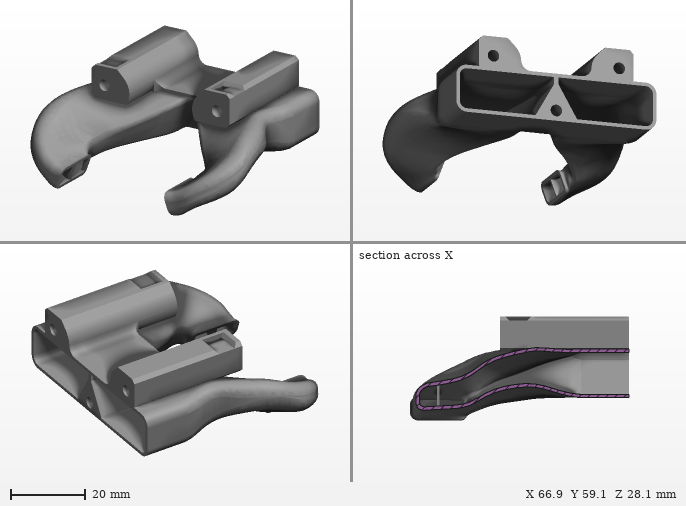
import cadquery as cq
import math

block_half_width = 28.6
block_depth = 12.8
block_round = 3.1
screw_hole_diameter = 3.3
block_hole_z = 2.9

plate_top = 13.25
plate_thickness = 0.95
plate_bottom = plate_top - plate_thickness
plate_depth = 20.9
plate_corner_round = 1.5

rail_outer_x = 22.1
rail_length = 34.8
rail_top = 21.95
rail_bottom = plate_bottom
rail_chamfer = 1.1
flank_radius = 5.95
flank_x = 16.0
flank_z = 15.6
flank_inner_x = flank_x - flank_radius
rail_hole_x = 18.0
rail_hole_z = 16.5
cove_radius = 2.8

pocket_inner_x = 15.05
pocket_back_y = -26.35
pocket_length = 7.0
pocket_depth = rail_chamfer
pocket_floor = rail_top - pocket_depth

wall = 1.0
septum_half = 0.7
crease_round = 1.2
mouth_round = 1.7
mouth_outer_round = 2.35
outlet_x = 16.2
outlet_back_y = -43.75
outlet_front_y = -59.1
outlet_top = 0.35
outlet_bottom = -6.15
outlet_lean = 20
divider_thickness = 0.7
divider_depth = 8.0

stations = [
    ((-2.2, -block_depth), (block_half_width, -block_depth), 0,
     [(7.55, 0), (0, plate_top), (0, plate_top), (0, 0)], crease_round, block_round),
    ((-0.35, -16.7), (27.95, -16.7), 0, [(6, 0), (0, 11.9), (0.15, 13.4), (0, 0.7)], crease_round, 3.1),
    ((2, -20.75), (27.3, -20.75), 0, [(4.7, -0.2), (0, 10.7), (0.7, 13.85), (0, 2)], crease_round, 3.1),
    ((4.7, -24.75), (27.8, -24.4), 0, [(4, -0.4), (0, 9.2), (1.0, 14.4), (0, 3.35)], crease_round, 3.1),
    ((8, -29.1), (30.1, -28.75), 0, [(4, -1.1), (0, 7.35), (1.35, 14.7), (0, 4.7)], crease_round, 3.7),
    ((13.7, -36.1), (34.2, -41.5), 0, [(4, -2.55), (0, 4.55), (2.7, 13.5), (0, 4.35)], crease_round, 4.35),
    ((16.7, -39.2), (33.8, -47.7), 0, [(3.0, -3.75), (0, 2.8), (2.7, 11.05), (0, 1.35)], crease_round, 4),
    ((18.25, -41.7), (29.2, -54.3), 5, [(0.7, -4.7), (0, 1.9), (1.0, 6.8), (0, -1.35)], mouth_round, 3.0),
    ((17.8, -43.3), (22.75, -58.2), 12, [(0, -5.35), (0, 1.0), (0, 2.5), (0, -4)], mouth_round, mouth_outer_round),
    ((outlet_x, outlet_back_y), (outlet_x, outlet_front_y), outlet_lean,
     [(0, outlet_bottom), (0, outlet_top), (0, outlet_top), (0, outlet_bottom)],
     mouth_round, mouth_outer_round),
]


def block():
    outline = cq.Workplane("XZ", origin=(0, 0, plate_top / 2)).rect(2 * block_half_width, plate_top)
    return outline.extrude(block_depth).edges("|Y").fillet(block_round)


def plate():
    half_width = flank_inner_x + plate_corner_round
    outline = cq.Workplane("XY", origin=(0, -plate_depth / 2, plate_bottom)).rect(2 * half_width, plate_depth)
    return outline.extrude(plate_thickness)


def rail():
    """Rail whose inner side is a 45 degree facet running tangent into a round flank."""
    slope = flank_radius * math.sqrt(0.5)
    facet_x = flank_x - slope
    facet_z = flank_z + slope
    foot_x = flank_x - math.sqrt(flank_radius**2 - (flank_z - rail_bottom)**2)
    profile = (
        cq.Workplane("XZ")
        .moveTo(foot_x, rail_bottom)
        .threePointArc((flank_inner_x, flank_z), (facet_x, facet_z))
        .lineTo(facet_x + rail_top - facet_z, rail_top)
        .lineTo(rail_outer_x - rail_chamfer, rail_top)
        .lineTo(rail_outer_x, rail_top - rail_chamfer)
        .lineTo(rail_outer_x, rail_bottom + rail_chamfer)
        .lineTo(rail_outer_x - rail_chamfer, rail_bottom)
        .close()
    )
    return profile.extrude(rail_length)


def cove():
    """Concave fillet tangent to the plate and the rail flank, with a rounded corner at its front."""
    reach = flank_radius + cove_radius
    centre_z = plate_top + cove_radius
    centre_x = flank_x - math.sqrt(reach**2 - (centre_z - flank_z)**2)
    share = cove_radius / reach
    touch_x = centre_x + share * (flank_x - centre_x)
    touch_z = centre_z + share * (flank_z - centre_z)
    start_angle = -math.pi / 2
    end_angle = math.atan2(touch_z - centre_z, touch_x - centre_x)
    middle_angle = (start_angle + end_angle) / 2
    middle_x = centre_x + cove_radius * math.cos(middle_angle)
    middle_z = centre_z + cove_radius * math.sin(middle_angle)
    front_y = -plate_depth - plate_corner_round
    strip = (
        cq.Workplane("XZ")
        .moveTo(centre_x, plate_bottom)
        .lineTo(centre_x, plate_top)
        .threePointArc((middle_x, middle_z), (touch_x, touch_z))
        .lineTo(flank_x, touch_z)
        .lineTo(flank_x, plate_bottom)
        .close()
        .extrude(-front_y)
    )
    corner_cut = (
        cq.Workplane("XY", origin=(0, 0, plate_bottom))
        .moveTo(flank_inner_x - plate_corner_round, -plate_depth)
        .radiusArc((flank_inner_x, front_y), plate_corner_round)
        .lineTo(0, front_y)
        .lineTo(0, -plate_depth)
        .close()
        .extrude(rail_top)
    )
    return strip.cut(corner_cut)


def pocket():
    """Shallow recess with sloped ends, and a slot that dives round the rail hole."""
    recess = (
        cq.Workplane("YZ", origin=(pocket_inner_x, pocket_back_y, 0))
        .moveTo(0, rail_top)
        .lineTo(-pocket_depth, pocket_floor)
        .lineTo(pocket_depth - pocket_length, pocket_floor)
        .lineTo(-pocket_length, rail_top)
        .close()
        .extrude(rail_outer_x - pocket_inner_x)
    )
    floor_radius = pocket_floor - rail_hole_z
    slot_width = rail_hole_x - pocket_inner_x
    slot_length = pocket_length - 2 * pocket_depth
    slot = (
        cq.Workplane("XY", origin=(pocket_inner_x, pocket_back_y - pocket_depth, pocket_floor))
        .move(slot_width / 2, -slot_length / 2)
        .rect(slot_width, slot_length)
        .extrude(-floor_radius / 2)
    )
    core = cq.Workplane("XZ", origin=(rail_hole_x, 0, rail_hole_z)).circle(floor_radius).extrude(rail_length)
    return recess.union(slot.cut(core))


def through_hole(x, z):
    return cq.Workplane("XZ", origin=(x, 0, z)).circle(screw_hole_diameter / 2).extrude(rail_length)


def round_corners(wire, points, radius):
    """Round the corners of a flat wire that lie at the given points."""
    corners = [min(wire.Vertices(), key=lambda v, p=p: (v.Center() - p).Length) for p in points]
    return wire.fillet2D(radius, corners)


def duct_section(inner, outer, lean, corners, inner_round, outer_round):
    """Rounded four-sided outline standing between two plan points, leaning about its base line."""
    dx = outer[0] - inner[0]
    dy = outer[1] - inner[1]
    width = math.hypot(dx, dy)
    tilt = math.radians(lean)
    across = cq.Vector(dx / width, dy / width, 0)
    sideways = cq.Vector(-across.y, across.x, 0)
    up = cq.Vector(0, 0, math.cos(tilt)) - sideways * math.sin(tilt)
    plane = cq.Plane(origin=(inner[0], inner[1], 0), xDir=across, normal=across.cross(up))

    (inner_bottom, inner_top, outer_top, outer_bottom) = corners
    flat = [inner_bottom, inner_top]
    flat += [(width - inset, z) for inset, z in (outer_top, outer_bottom)]
    flat = [(u, z / math.cos(tilt)) for u, z in flat]
    points = [plane.toWorldCoords(corner) for corner in flat]

    wire = cq.Workplane(plane).polyline(flat).close().val()
    wire = round_corners(wire, points[:2], inner_round)
    return round_corners(wire, points[2:], outer_round)


def right_of(x):
    """Block holding everything of the part to the right of x."""
    size = 4 * block_half_width
    return cq.Workplane("XY").box(size, 2 * size, size).translate((x + size / 2, 0, 0))


def divider():
    """Rib standing across the middle of the outlet."""
    middle_y = (outlet_back_y + outlet_front_y) / 2
    rib = cq.Workplane("XY").box(2 * divider_depth, divider_thickness, rail_top)
    return rib.translate((outlet_x, middle_y, 0))


sections = [duct_section(*station) for station in stations]
bore_sections = [section.offset2D(-wall)[0] for section in sections]

duct = cq.Workplane(cq.Solid.makeLoft(sections)).intersect(right_of(0))
socket = cq.Workplane(cq.Solid.extrudeLinear(bore_sections[0], [], cq.Vector(0, block_depth, 0)))
bore = cq.Workplane(cq.Solid.makeLoft(bore_sections)).intersect(right_of(septum_half))
bore = bore.union(socket.intersect(right_of(septum_half))).cut(divider())

result = block().union(plate())
for part in (duct, rail().union(cove())):
    result = result.union(part).union(part.mirror("YZ"))
for cutter in (bore, pocket(), through_hole(rail_hole_x, rail_hole_z)):
    result = result.cut(cutter).cut(cutter.mirror("YZ"))
result = result.cut(through_hole(0, block_hole_z))